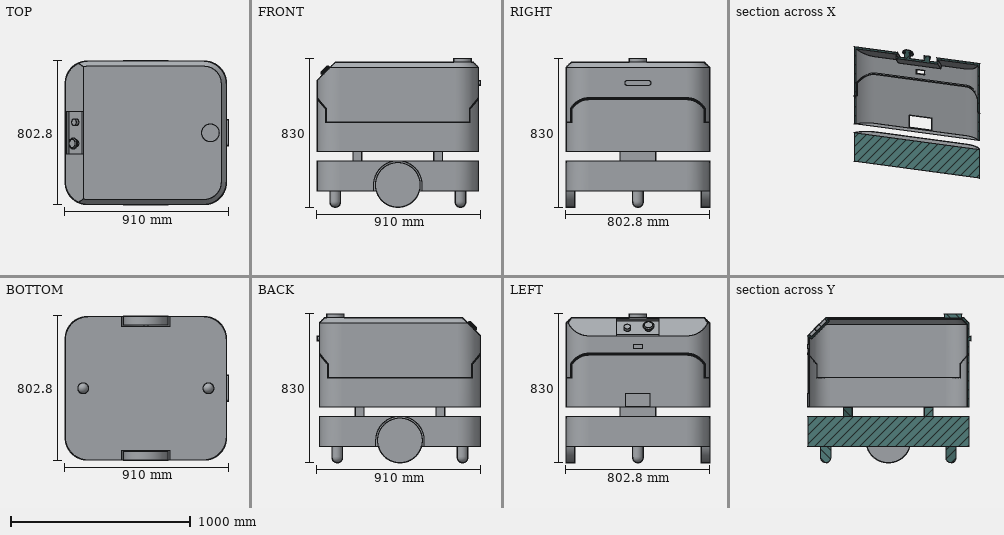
import cadquery as cq
import math

body_length = 898.0
body_width = 800.0
corner_radius = 126.0
wall = 10.0

base_bottom = 90.0
base_top = 259.0
shell_bottom = 310.0
lid_top = 808.0
beacon_top = 830.0

wheel_radius = 125.0
wheel_width = 50.0
wheel_stand_out = 1.4
wheel_well_slit = 0.5
wheel_well_radius = base_top - wheel_radius + wheel_well_slit
wheel_well_depth = 55.0
caster_radius = 30.0
caster_offset = 348.5

spacer_length = 50.0
spacer_width = 200.0
spacer_offset = 225.0

seam_end_height = 611.0
seam_slant_height = 550.0
seam_side_height = 476.0
seam_inset = 51.0
seam_gap = 5.0
lip_depth = 4.0

floor_thickness = 2.0
window_width = 136.5
window_height = 73.0
window_sill = 4.0
slot_width = 50.0
slot_height = 25.0
slot_middle = 648.0

slope_size = 101.0
lid_chamfer = 29.0
panel_width = 237.0
panel_length = 122.0
panel_shift = 2.0
panel_depth = 18.0
button_offset = 59.0
button_radius = 18.0
button_height = 20.0
stop_height = 35.0
stop_head_radius = 30.0
stop_head_thickness = 12.0
stop_head_chamfer = 6.0
rear_plate_width = 146.0
rear_plate_height = 27.0
rear_plate_thickness = 12.0
rear_plate_middle = 692.5

beacon_radius = 49.0
beacon_offset = 359.0

half_length = body_length / 2
half_width = body_width / 2


def rounded_block(inset, bottom, top):
    """Block with the body's rounded outline, drawn in by inset."""
    block = cq.Workplane("XY", origin=(0, 0, bottom))
    block = block.rect(body_length - 2 * inset, body_width - 2 * inset).extrude(top - bottom)
    return block.edges("|Z").fillet(corner_radius - inset)


def disc(radius, width, middle_y):
    """Disc on the wheel axis, which runs along Y at wheel_radius above the ground."""
    profile = cq.Workplane("XZ", origin=(0, middle_y + width / 2, wheel_radius)).circle(radius)
    return profile.extrude(width)


def make_base():
    base = rounded_block(0, base_bottom, base_top)
    for side in (-1, 1):
        arch = disc(wheel_well_radius, wheel_well_depth, side * (half_width - wheel_well_depth / 2))
        opening = (
            cq.Workplane("XY", origin=(0, side * half_width, 0))
            .rect(2 * wheel_well_radius, 2 * wheel_well_depth)
            .extrude(wheel_radius)
        )
        base = base.cut(arch).cut(opening)
    return base


def make_wheel(side):
    middle_y = side * (half_width + wheel_stand_out - wheel_width / 2)
    return disc(wheel_radius, wheel_width, middle_y)


def make_caster(side):
    """Round leg with a half-ball end, standing under the base."""
    leg = cq.Workplane("XY", origin=(side * caster_offset, 0, caster_radius))
    leg = leg.circle(caster_radius).extrude(base_bottom - caster_radius)
    ball = cq.Workplane("XY").sphere(caster_radius)
    return leg.union(ball.translate((side * caster_offset, 0, caster_radius)))


def make_spacer(side):
    spacer = cq.Workplane("XY", origin=(side * spacer_offset, 0, base_top))
    return spacer.rect(spacer_length, spacer_width).extrude(shell_bottom - base_top)


def above_seam(drop):
    """Everything above the seam, with the seam moved out by drop at right angles."""
    slant = math.atan2(seam_end_height - seam_slant_height, seam_inset)
    rise = math.tan(slant)
    side_x = half_length - seam_inset + drop
    slant_drop = drop / math.cos(slant)
    far_x = half_length + seam_inset
    corner_z = seam_slant_height + drop * rise - slant_drop
    far_z = corner_z + (far_x - side_x) * rise
    side_z = seam_side_height - drop
    outline = [
        (far_x, lid_top),
        (far_x, far_z),
        (side_x, corner_z),
        (side_x, side_z),
        (-side_x, side_z),
        (-side_x, corner_z),
        (-far_x, far_z),
        (-far_x, lid_top),
    ]
    return cq.Workplane("XZ").polyline(outline).close().extrude(body_width, both=True)


def front_opening(width, height, bottom):
    opening = cq.Workplane("XY").box(2 * wall, width, height)
    return opening.translate((-half_length, 0, bottom + height / 2))


def make_shell():
    """Open box, with a lip set in from its outer surface that reaches up to the lid."""
    outside = rounded_block(0, shell_bottom, lid_top).cut(above_seam(seam_gap))
    lip = rounded_block(lip_depth, shell_bottom, lid_top).cut(above_seam(0))
    inside = rounded_block(wall, shell_bottom + floor_thickness, lid_top)
    window = front_opening(window_width, window_height, shell_bottom + window_sill)
    return outside.union(lip).cut(inside).cut(window)


def on_slope(depth):
    """Workplane parallel to the lid's slope, depth below its middle, facing outward."""
    inward = depth / math.sqrt(2)
    origin = (
        -half_length + slope_size / 2 + inward,
        0,
        lid_top - slope_size / 2 - inward,
    )
    return cq.Workplane(cq.Plane(origin=origin, xDir=(0, -1, 0), normal=(-1, 0, 1)))


def lid_form(inset):
    """Lid block with its sloped end and bevelled top edges, drawn in by inset."""
    top = lid_top - inset
    form = rounded_block(inset, shell_bottom, top)
    form = form.faces(">Z").chamfer(lid_chamfer)
    cutter = on_slope(inset).rect(2 * body_width, 2 * body_width).extrude(body_length)
    return form.cut(cutter)


def panel_block(depth, margin, height):
    """Block over the control panel, wider by margin all round, rising by height from depth."""
    block = on_slope(depth).center(0, panel_shift)
    return block.rect(panel_width + 2 * margin, panel_length + 2 * margin).extrude(height)


def make_lid():
    """Hollow cover with a sunken control panel, an emergency stop and a plate at the far end."""
    lid = lid_form(0).cut(lid_form(wall))
    panel_housing = panel_block(panel_depth + wall, wall, panel_depth + wall / 2)
    lid = lid.union(panel_housing).intersect(above_seam(0))
    lid = lid.cut(panel_block(panel_depth, 0, 2 * panel_depth))
    lid = lid.cut(front_opening(slot_width, slot_height, slot_middle - slot_height / 2))

    floor = on_slope(panel_depth)
    button = floor.center(-button_offset, 0).circle(button_radius).extrude(button_height)
    stop_stem = (
        on_slope(panel_depth).center(button_offset, 0).circle(button_radius).extrude(stop_height)
    )
    stop_head = (
        on_slope(panel_depth - stop_height + stop_head_thickness)
        .center(button_offset, 0)
        .circle(stop_head_radius)
        .extrude(stop_head_thickness)
        .edges(cq.selectors.DirectionMinMaxSelector(cq.Vector(-1, 0, 1), True))
        .chamfer(stop_head_chamfer)
    )
    rear_plate = (
        cq.Workplane("YZ", origin=(half_length, 0, rear_plate_middle))
        .slot2D(rear_plate_width, rear_plate_height)
        .extrude(rear_plate_thickness)
    )
    return lid.union(button).union(stop_stem).union(stop_head).union(rear_plate)


def make_beacon():
    beacon = cq.Workplane("XY", origin=(beacon_offset, 0, lid_top)).circle(beacon_radius)
    return beacon.extrude(beacon_top - lid_top)


base = make_base()
wheels = [make_wheel(side) for side in (-1, 1)]
casters = [make_caster(side) for side in (-1, 1)]
spacers = [make_spacer(side) for side in (-1, 1)]
shell = make_shell()
lid = make_lid()
beacon = make_beacon()

bodies = [base, *wheels, *casters, *spacers, shell, lid, beacon]
result = cq.Compound.makeCompound([body.solids().val() for body in bodies])